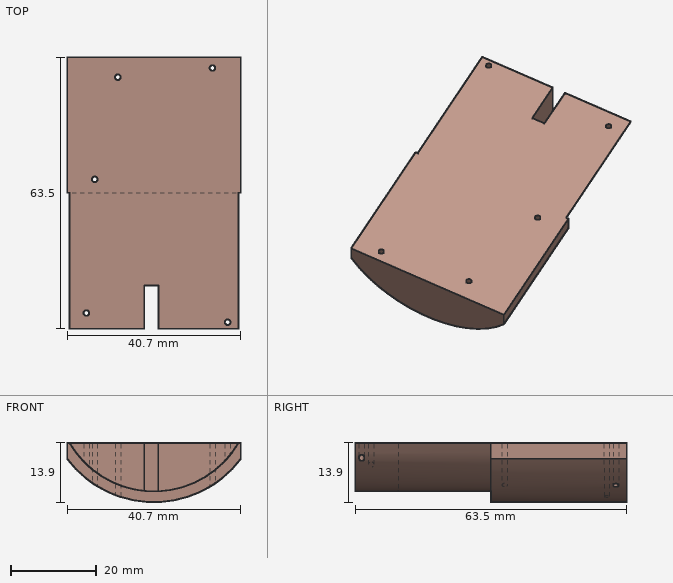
import cadquery as cq
import math

length = 63.5
width = 40.65
depth = 13.9
step_y = length / 2

rear_radius = 25.4
front_radius = 22.85
axis_height = rear_radius - depth

tolerance = 6.35e-07

slot_left = -2.2
slot_width = 3.25
slot_length = 10.1

hole_diameter = 1.3
hole_centres = [
    (-8.45, 58.8),
    (13.65, 60.95),
    (-13.85, 34.9),
    (-15.8, 3.7),
    (17.2, 1.5),
]


def half_body(radius, half_width, start_y, end_y):
    """Flat-topped body with a round underside and, if narrow enough, upright sides."""
    arc_end_z = axis_height - math.sqrt(radius**2 - half_width**2)
    profile = cq.Workplane("XZ", origin=(0, start_y, 0)).moveTo(-half_width, arc_end_z)
    profile = profile.threePointArc((0, axis_height - radius), (half_width, arc_end_z))
    if not math.isclose(arc_end_z, 0, abs_tol=tolerance):
        profile = profile.lineTo(half_width, 0).lineTo(-half_width, 0)
    return profile.close().extrude(start_y - end_y)


front_half_width = math.sqrt(front_radius**2 - axis_height**2)
front_half = half_body(front_radius, front_half_width, 0, step_y)
rear_half = half_body(rear_radius, width / 2, step_y, length)
body = front_half.union(rear_half)

slot = cq.Workplane("XY").box(slot_width, slot_length, depth, centered=False)
slot = slot.translate((slot_left, 0, -depth))

holes = (
    cq.Workplane("XY")
    .pushPoints(hole_centres)
    .circle(hole_diameter / 2)
    .extrude(-depth)
)

result = body.cut(slot).cut(holes)